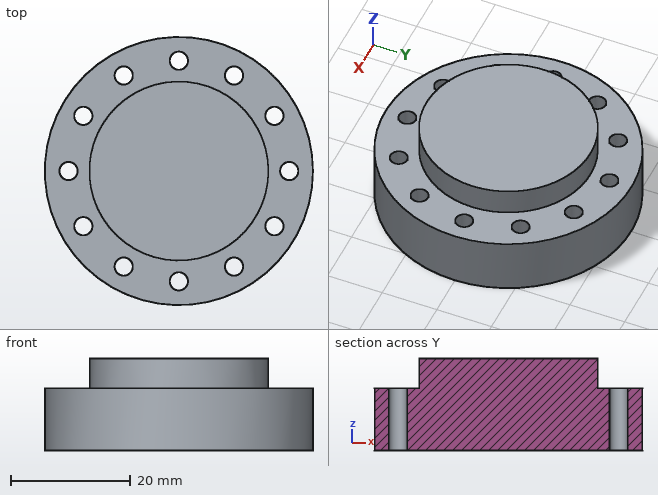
import cadquery as cq

flange_diameter = 45.0
flange_height = 10.5

boss_diameter = 30.0
boss_height = 5.0

hole_count = 12
hole_diameter = 3.0
hole_circle_diameter = 37.0


def make_body():
    """Flange disc with the concentric boss on its top face."""
    flange = cq.Workplane("XY").circle(flange_diameter / 2).extrude(flange_height)
    return flange.faces(">Z").workplane().circle(boss_diameter / 2).extrude(boss_height)


def make_hole_ring():
    """Equally spaced cylinders that pass through the flange, the first on +X."""
    return (
        cq.Workplane("XY")
        .polarArray(hole_circle_diameter / 2, 0, 360, hole_count)
        .circle(hole_diameter / 2)
        .extrude(flange_height)
    )


result = make_body().cut(make_hole_ring())